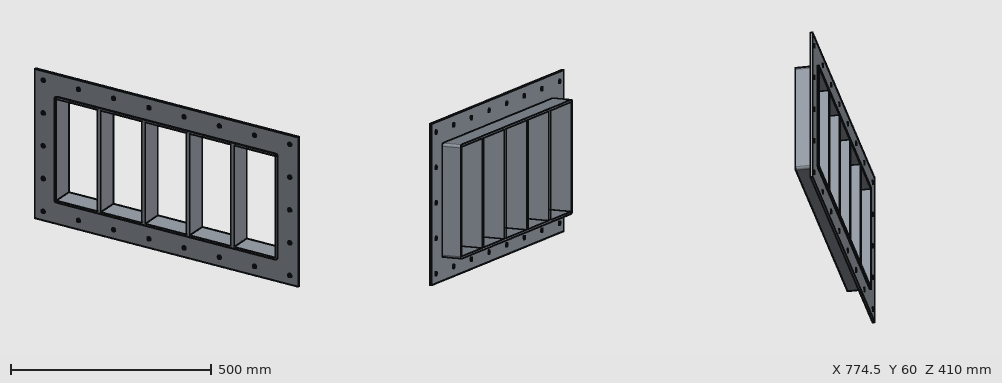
import cadquery as cq

flange_length = 774.5
flange_height = 410.0
flange_thickness = 6.0

frame_depth = 60.0
frame_lip = 3.0
flange_border = 60.0
frame_length = flange_length - 2 * flange_border
frame_height = flange_height - 2 * flange_border
corner_radius = 7.0

wall_thickness = 6.0
window_count = 5
divider_thickness = 11.0
window_height = frame_height - 2 * wall_thickness
dividers_total = (window_count - 1) * divider_thickness
window_width = (frame_length - 2 * wall_thickness - dividers_total) / window_count
window_pitch = window_width + divider_thickness

hole_diameter = 10.0
hole_inset = 25.0
holes_along_length = 8
holes_along_height = 5


def block(length, height, front, depth):
    """Box centred in X and Z, reaching from y = front back by depth."""
    return cq.Workplane("XY").box(length, depth, height).translate((0, front + depth / 2, 0))


def bolt_positions():
    """Points along the four sides of the bolt rectangle, each corner once."""
    span_x = flange_length - 2 * hole_inset
    span_z = flange_height - 2 * hole_inset
    points = []
    for i in range(holes_along_length):
        for j in range(holes_along_height):
            on_end = i in (0, holes_along_length - 1)
            on_edge = j in (0, holes_along_height - 1)
            if on_end or on_edge:
                x = span_x * (i / (holes_along_length - 1) - 0.5)
                z = span_z * (j / (holes_along_height - 1) - 0.5)
                points.append((x, z))
    return points


flange = block(flange_length, flange_height, frame_lip, flange_thickness)
frame = block(frame_length, frame_height, 0, frame_depth).edges("|Y").fillet(corner_radius)
result = flange.union(frame)

for index in range(window_count):
    window_x = (index - (window_count - 1) / 2) * window_pitch
    window = block(window_width, window_height, 0, frame_depth)
    result = result.cut(window.translate((window_x, 0, 0)))

bolt_holes = (
    cq.Workplane("XZ")
    .pushPoints(bolt_positions())
    .circle(hole_diameter / 2)
    .extrude(-frame_depth)
)
result = result.cut(bolt_holes)